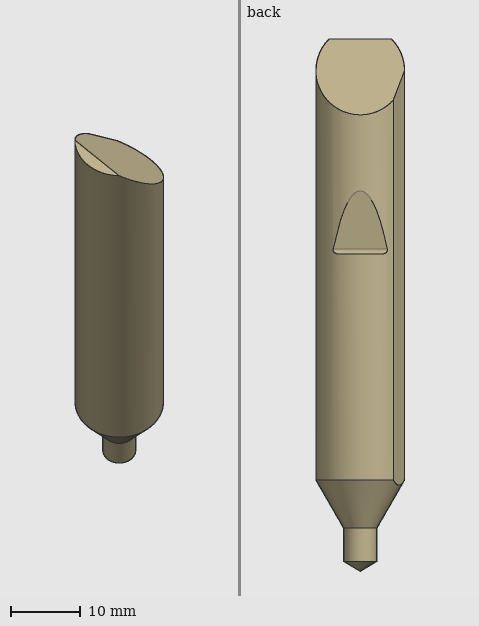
import cadquery as cq
import math

shank_diameter = 12.7
overall_length = 76.2
pilot_diameter = 4.76
pilot_shoulder_height = 6.2
shoulder_half_angle = 30.0
point_half_angle = 59.0

top_land_width = 1.82
top_slant_angle = 45.0

side_flat_depth = 0.42
side_flat_direction = 159.0

notch_floor_height = 45.4
notch_depth = 1.43
notch_ramp_angle = 9.0
notch_corner_radius = 0.6

shank_radius = shank_diameter / 2
pilot_radius = pilot_diameter / 2
center_height = overall_length / 2


def tan_deg(angle):
    return math.tan(math.radians(angle))


def make_body():
    """Revolve the half profile of the shank, shoulder, pilot and point."""
    point_height = pilot_radius / tan_deg(point_half_angle)
    shoulder_height = (shank_radius - pilot_radius) / tan_deg(shoulder_half_angle)
    shank_start = pilot_shoulder_height + shoulder_height
    profile = (
        cq.Workplane("XZ")
        .moveTo(0, 0)
        .lineTo(pilot_radius, point_height)
        .lineTo(pilot_radius, pilot_shoulder_height)
        .lineTo(shank_radius, shank_start)
        .lineTo(shank_radius, overall_length)
        .lineTo(0, overall_length)
        .close()
    )
    return profile.revolve(360, (0, 0, 0), (0, 1, 0))


def make_top_slant():
    """Wedge above the slanted top, which falls toward +Y."""
    land_edge = top_land_width - shank_radius
    slant_drop = (shank_radius - land_edge) * tan_deg(top_slant_angle)
    return (
        cq.Workplane("YZ")
        .moveTo(land_edge, overall_length)
        .lineTo(shank_radius, overall_length)
        .lineTo(shank_radius, overall_length - slant_drop)
        .close()
        .extrude(shank_radius, both=True)
    )


def make_side_flat():
    """Full-length block outside the flat on the side of the shank."""
    return (
        cq.Workplane("XY")
        .box(side_flat_depth, shank_diameter, overall_length)
        .translate((shank_radius - side_flat_depth / 2, 0, center_height))
        .rotate((0, 0, 0), (0, 0, 1), side_flat_direction)
    )


def make_notch():
    """Wedge across the +Y side: square lower wall, rounded corner, rising ramp."""
    ramp_height = notch_depth / tan_deg(notch_ramp_angle)
    notch_bottom = shank_radius - notch_depth
    wedge = (
        cq.Workplane("YZ")
        .moveTo(shank_radius, notch_floor_height)
        .lineTo(notch_bottom, notch_floor_height)
        .lineTo(shank_radius, notch_floor_height + ramp_height)
        .close()
        .extrude(shank_radius, both=True)
    )
    return wedge.edges("|X").edges("<Y").fillet(notch_corner_radius)


result = make_body().cut(make_top_slant()).cut(make_side_flat()).cut(make_notch())